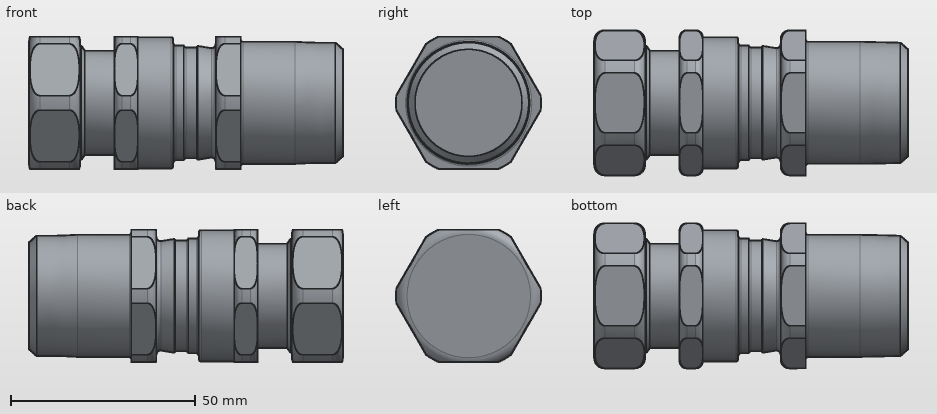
import cadquery as cq
import math


ACROSS_FLATS = 36.0
CORNER_DIA = 39.5

CAP_END = 13.9
FERRULE_RIM_END = 14.25
FERRULE_END = 15.2
SLEEVE_END = 23.2
GLAND_HEX_END = 29.6
GLAND_COLLAR_END = 39.15
GLAND_SHOULDER_END = 39.3
GLAND_END = 42.05
SPACER_END = 45.6
NECK_END = 49.6
BODY_HEX_START = 50.7
BODY_HEX_END = 57.6
BODY_TAPER_START = 72.2
BODY_CHAMFER_START = 83.25
TOTAL_LENGTH = 85.3

CAP_ROUND = 3.0
GLAND_HEX_ROUND = 2.05
BODY_HEX_ROUND = 2.6
COLLAR_ROUND = 0.6
FOOT_FILLET = 0.5
NECK_CHAMFER = 0.25
NECK_FILLET = BODY_HEX_START - NECK_END

FERRULE_DIA = 31.0
SLEEVE_DIA = 28.4
GLAND_COLLAR_DIA = 35.7
SPACER_DIA = 30.2
GLAND_SPIGOT_DIA = SPACER_DIA + 2 * FOOT_FILLET
GLAND_SHOULDER_DIA = GLAND_SPIGOT_DIA + 2 * FOOT_FILLET
NECK_LARGE_DIA = 31.0
NECK_SMALL_DIA = 29.8
BODY_DIA = 33.3
BODY_TAPER_END_DIA = 32.75
BODY_TIP_DIA = 29.1


def fillet_midpoint(center_x, center_r, radius, direction_x, direction_r):
    """Point halfway along a quarter-round, on the given diagonal from its centre."""
    reach = radius * math.sqrt(0.5)
    return (center_x + direction_x * reach, center_r + direction_r * reach)


def revolve_profile(profile):
    """Close an open (x, radius) profile that starts on the X axis and spin it about that axis."""
    return profile.close().revolve(360, (0, 0, 0), (1, 0, 0))


def cylinder(start, end, diameter):
    return cq.Workplane("YZ", origin=(start, 0, 0)).circle(diameter / 2).extrude(end - start)


def cone(start, end, start_dia, end_dia):
    profile = (
        cq.Workplane("XY")
        .moveTo(start, 0)
        .lineTo(start, start_dia / 2)
        .lineTo(end, end_dia / 2)
        .lineTo(end, 0)
    )
    return revolve_profile(profile)


def rounded_hexagon(start, end, radius, rounded_faces):
    """Hexagon with flats at +Z and -Z, trimmed by a cylinder whose chosen ends are rounded."""
    corner_distance = ACROSS_FLATS / math.cos(math.radians(30))
    prism = (
        cq.Workplane("YZ", origin=(start, 0, 0))
        .polygon(6, corner_distance)
        .extrude(end - start)
    )
    trim = cylinder(start, end, CORNER_DIA).faces(rounded_faces).edges().fillet(radius)
    return prism.intersect(trim)


def foot_fillet(start, diameter):
    """Solid disc whose rim is a hollow quarter-round, flaring toward -X onto the face at start."""
    rim = diameter / 2
    radius = FOOT_FILLET
    profile = (
        cq.Workplane("XY")
        .moveTo(start, 0)
        .lineTo(start, rim + radius)
        .threePointArc(
            fillet_midpoint(start + radius, rim + radius, radius, -1, -1),
            (start + radius, rim),
        )
        .lineTo(start + radius, 0)
    )
    return revolve_profile(profile)


def make_cap_nut():
    return rounded_hexagon(0, CAP_END, CAP_ROUND, "<X or >X")


def make_ferrule():
    rim = cylinder(CAP_END, FERRULE_RIM_END, FERRULE_DIA)
    nose = cone(FERRULE_RIM_END, FERRULE_END, FERRULE_DIA, SLEEVE_DIA)
    return rim.union(nose)


def make_sleeve():
    return cylinder(FERRULE_END, SLEEVE_END, SLEEVE_DIA)


def make_gland_nut():
    hexagon = rounded_hexagon(SLEEVE_END, GLAND_HEX_END, GLAND_HEX_ROUND, "<X or >X")
    collar = cylinder(GLAND_HEX_END, GLAND_COLLAR_END, GLAND_COLLAR_DIA)
    collar = collar.faces(">X").edges().fillet(COLLAR_ROUND)
    shoulder = cylinder(GLAND_COLLAR_END, GLAND_SHOULDER_END, GLAND_SHOULDER_DIA)
    foot = foot_fillet(GLAND_SHOULDER_END, GLAND_SPIGOT_DIA)
    spigot = cylinder(GLAND_SHOULDER_END + FOOT_FILLET, GLAND_END, GLAND_SPIGOT_DIA)
    return hexagon.union(collar).union(shoulder).union(foot).union(spigot)


def make_spacer():
    foot = foot_fillet(GLAND_END, SPACER_DIA)
    ring = cylinder(GLAND_END + FOOT_FILLET, SPACER_END, SPACER_DIA)
    return foot.union(ring)


def make_neck():
    """Tapered neck of the body, from its chamfered end to the fillet that meets the hexagon."""
    neck_rim = NECK_SMALL_DIA / 2
    hexagon_rim = neck_rim + NECK_FILLET
    profile = (
        cq.Workplane("XY")
        .moveTo(SPACER_END, 0)
        .lineTo(SPACER_END, NECK_LARGE_DIA / 2 - NECK_CHAMFER)
        .lineTo(SPACER_END + NECK_CHAMFER, NECK_LARGE_DIA / 2)
        .lineTo(NECK_END, neck_rim)
        .threePointArc(
            fillet_midpoint(NECK_END, hexagon_rim, NECK_FILLET, 1, -1),
            (BODY_HEX_START, hexagon_rim),
        )
        .lineTo(BODY_HEX_START, 0)
    )
    return revolve_profile(profile)


def make_body():
    hexagon = rounded_hexagon(BODY_HEX_START, BODY_HEX_END, BODY_HEX_ROUND, "<X")
    foot = foot_fillet(BODY_HEX_END, BODY_DIA)
    barrel = cylinder(BODY_HEX_END + FOOT_FILLET, BODY_TAPER_START, BODY_DIA)
    taper = cone(BODY_TAPER_START, BODY_CHAMFER_START, BODY_DIA, BODY_TAPER_END_DIA)
    tip = cone(BODY_CHAMFER_START, TOTAL_LENGTH, BODY_TAPER_END_DIA, BODY_TIP_DIA)
    body = make_neck()
    for section in (hexagon, foot, barrel, taper, tip):
        body = body.union(section)
    return body


cap_nut = make_cap_nut()
ferrule = make_ferrule()
sleeve = make_sleeve()
gland_nut = make_gland_nut()
spacer = make_spacer()
body = make_body()

result = cq.Compound.makeCompound(
    [cap_nut.val(), ferrule.val(), sleeve.val(), gland_nut.val(), spacer.val(), body.val()]
)